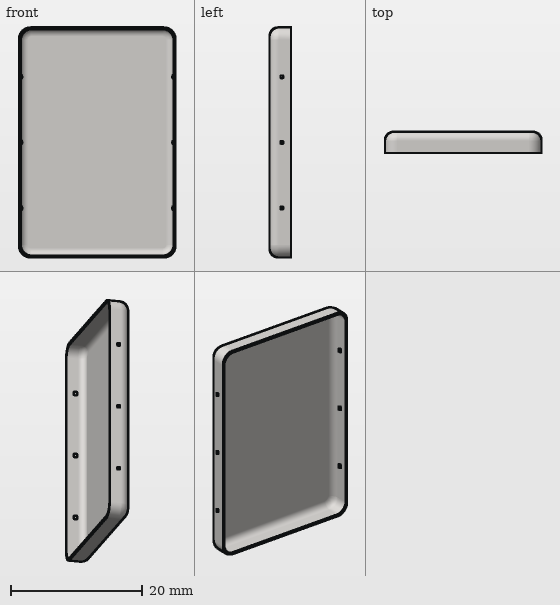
import cadquery as cq

width = 23.9
depth = 3.3
height = 35.1

wall = 0.3
corner_radius = 1.9
back_edge_radius = 1.4

dimple_pitch = 10.0
dimple_setback = 1.4
dimple_radius = 0.228
bump_radius = 0.3
bump_height = 0.2

rim_y = -depth / 2
dimple_y = rim_y + dimple_setback


def rounded_block(inset):
    """Block with rounded corners and back edge, set in from the outer skin."""
    return (
        cq.Workplane("XZ", origin=(0, rim_y, 0))
        .rect(width - 2 * inset, height - 2 * inset)
        .extrude(-(depth - inset))
        .edges("|Y")
        .fillet(corner_radius - inset)
        .faces(">Y")
        .edges()
        .fillet(back_edge_radius - inset)
    )


def ball(radius, x, z):
    """Sphere with its poles along X, square to the side walls."""
    return cq.Workplane("XY").sphere(radius).rotate((0, 0, 0), (0, 1, 0), 90).translate((x, dimple_y, z))


bump_sphere_radius = (bump_radius**2 + bump_height**2) / (2 * bump_height)
bump_center_x = width / 2 - wall - bump_height + bump_sphere_radius

outer = rounded_block(0)
cavity = rounded_block(wall)

for side in (-1, 1):
    for row in (-1, 0, 1):
        z = row * dimple_pitch
        cavity = cavity.cut(ball(bump_sphere_radius, side * bump_center_x, z))
        outer = outer.cut(ball(dimple_radius, side * width / 2, z))

result = outer.cut(cavity)